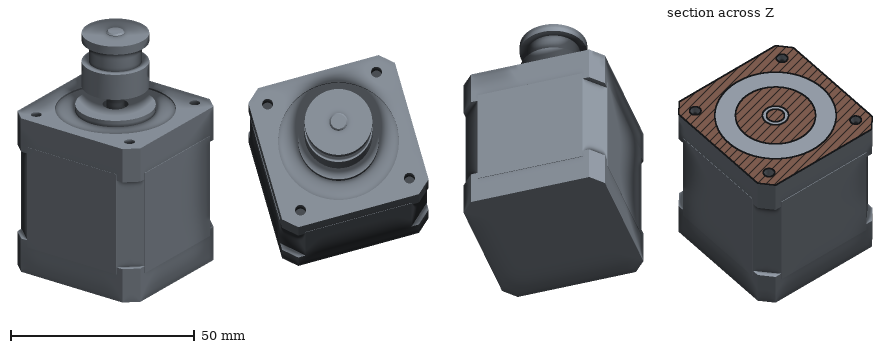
import cadquery as cq
import math

body_x = 41.55
body_y = 40.5
body_height = 46.1
end_cap_height = 10.0
end_corner_x = 17.1
end_corner_y = 16.95
middle_corner = 15.0
panel_bottom = 7.9
panel_size = 2 * middle_corner
panel_span_x = 41.85
panel_span_y = 40.65

recess_diameter = 33.0
recess_depth = 0.5
recess_floor = body_height - recess_depth
boss_diameter = 22.0
boss_rise = 1.4
boss_top = body_height + boss_rise
boss_bore_diameter = 7.0
hole_diameter = 3.0
hole_depth = 4.5
hole_circle_radius = 21.95
first_hole_angle = 46.1

shaft_diameter = 5.0
shaft_top = 69.5
shaft_chamfer = 0.4
pulley_diameter = 18.5
groove_diameter = 14.5
pulley_bottom = 52.95
hub_height = 7.5
rim_height = 2.4
pulley_top = 68.95


def octagon(corner_x, corner_y, bottom, height):
    """Block with the body's outer sides and cut corners."""
    half_x = body_x / 2
    half_y = body_y / 2
    points = [
        (corner_x, half_y), (half_x, corner_y), (half_x, -corner_y), (corner_x, -half_y),
        (-corner_x, -half_y), (-half_x, -corner_y), (-half_x, corner_y), (-corner_x, half_y),
    ]
    return cq.Workplane("XY").workplane(offset=bottom).polyline(points).close().extrude(height)


def cylinder(diameter, bottom, top):
    return cq.Workplane("XY").workplane(offset=bottom).circle(diameter / 2).extrude(top - bottom)


def panel_block(size_x, size_y):
    """Block through the body whose two ends form opposite raised panels."""
    block = cq.Workplane("XY").box(size_x, size_y, panel_size, centered=(True, True, False))
    return block.translate((0, 0, panel_bottom))


def make_body():
    upper_cap_bottom = body_height - end_cap_height
    middle_height = upper_cap_bottom - end_cap_height
    body = octagon(end_corner_x, end_corner_y, 0, end_cap_height)
    body = body.union(octagon(middle_corner, middle_corner, end_cap_height, middle_height))
    body = body.union(octagon(end_corner_x, end_corner_y, upper_cap_bottom, end_cap_height))
    body = body.union(panel_block(panel_span_x, panel_size))
    return body.union(panel_block(panel_size, panel_span_y))


def make_mounting_holes():
    holes = cq.Workplane("XY").workplane(offset=body_height - hole_depth)
    for quarter in range(4):
        angle = math.radians(first_hole_angle + 90 * quarter)
        holes = holes.moveTo(hole_circle_radius * math.cos(angle), hole_circle_radius * math.sin(angle))
        holes = holes.circle(hole_diameter / 2)
    return holes.extrude(hole_depth)


def make_boss():
    boss = cylinder(boss_diameter, recess_floor, boss_top)
    return boss.cut(cylinder(boss_bore_diameter, recess_floor, boss_top))


def make_shaft():
    shaft = cylinder(shaft_diameter, recess_floor, shaft_top)
    return shaft.faces(">Z").edges().chamfer(shaft_chamfer)


def make_pulley():
    hub_top = pulley_bottom + hub_height
    rim_bottom = pulley_top - rim_height
    hub = cylinder(pulley_diameter, pulley_bottom, hub_top)
    groove = cylinder(groove_diameter, hub_top, rim_bottom)
    rim = cylinder(pulley_diameter, rim_bottom, pulley_top)
    return hub.union(groove).union(rim)


result = make_body().cut(cylinder(recess_diameter, recess_floor, body_height))
result = result.cut(make_mounting_holes())
result = result.union(make_boss())
result = result.union(make_shaft()).union(make_pulley())